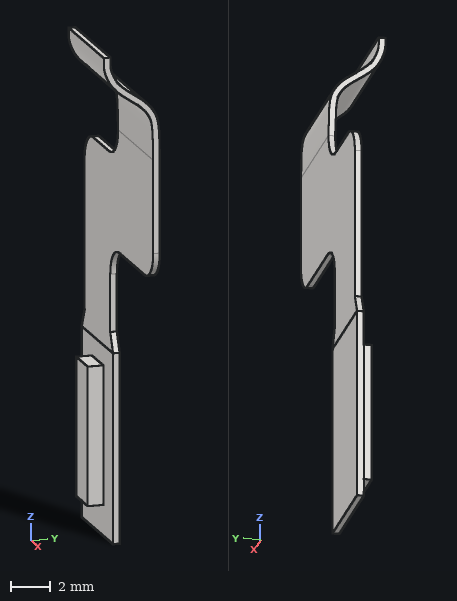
import cadquery as cq

sheet_thickness = 0.35
overall_width = 12.5
overall_depth = 2.97
overall_height = 27.5

pad_width = 5.5
pad_height = 10.0

block_width = 2.0
block_height = 7.32
block_depth = 0.82
block_left = 1.8
block_bottom = 1.62

neck_inset = 0.5
taper_height = 1.0
arm_bottom = 15.55
arm_top = 20.43
tab_width = 6.15
corner_radius = 1.5
tab_left = overall_width - tab_width
neck_left = neck_inset
neck_right = pad_width - neck_inset
taper_top = pad_height + taper_height
tab_bottom = arm_top + corner_radius

sheet_middle = -sheet_thickness / 2
tip_middle = -overall_depth + sheet_thickness / 2
s_bend_path = [
    (sheet_middle, tab_bottom),
    (-0.22, 23.5),
    (-0.35, 24.2),
    (-0.7, 24.7),
    (-1.6, 25.38),
    (-2.53, 26.25),
    (-2.75, 26.8),
    (tip_middle, overall_height),
]


def fillet_at(body, point, radius):
    """Round the straight edge whose middle is at the given point."""
    return body.edges(cq.NearestToPointSelector(point)).fillet(radius)


def make_pad():
    return cq.Workplane("XY").box(pad_width, sheet_thickness, pad_height, centered=False).translate(
        (0, -sheet_thickness, 0)
    )


def make_connector_block():
    block = cq.Workplane("XY").box(block_width, block_depth, block_height, centered=False)
    return block.translate((block_left, -sheet_thickness - block_depth, block_bottom))


def make_flat_strip():
    outline = [
        (0, pad_height),
        (pad_width, pad_height),
        (neck_right, taper_top),
        (neck_right, arm_bottom),
        (overall_width, arm_bottom),
        (overall_width, tab_bottom),
        (tab_left, tab_bottom),
        (tab_left, arm_top),
        (neck_left, arm_top),
        (neck_left, taper_top),
    ]
    strip = cq.Workplane("XZ").polyline(outline).close().extrude(sheet_thickness)
    rounded_corners = [
        (neck_right, arm_bottom),
        (overall_width, arm_bottom),
        (neck_left, arm_top),
    ]
    for x, z in rounded_corners:
        strip = fillet_at(strip, (x, sheet_middle, z), corner_radius)
    return strip.union(make_inside_corner())


def make_inside_corner():
    """Concave web that blends the top of the arm into the left side of the tab."""
    return (
        cq.Workplane("XZ")
        .moveTo(tab_left, arm_top)
        .lineTo(tab_left, tab_bottom)
        .radiusArc((tab_left - corner_radius, arm_top), corner_radius)
        .close()
        .extrude(sheet_thickness)
    )


def make_bent_tab():
    """Sheet cross-section swept up the S-bend, vertical at both ends."""
    path = cq.Workplane("YZ").spline(s_bend_path, tangents=[(0, 1), (0, 1)])
    section = cq.Workplane("XY", origin=(tab_left + tab_width / 2, sheet_middle, tab_bottom))
    return section.rect(tab_width, sheet_thickness).sweep(path.translate((tab_left + tab_width / 2, 0, 0)))


pad = make_pad()
connector_block = make_connector_block()
flex_strip = make_flat_strip().union(make_bent_tab())

result = cq.Compound.makeCompound([pad.val(), connector_block.val(), flex_strip.val()])